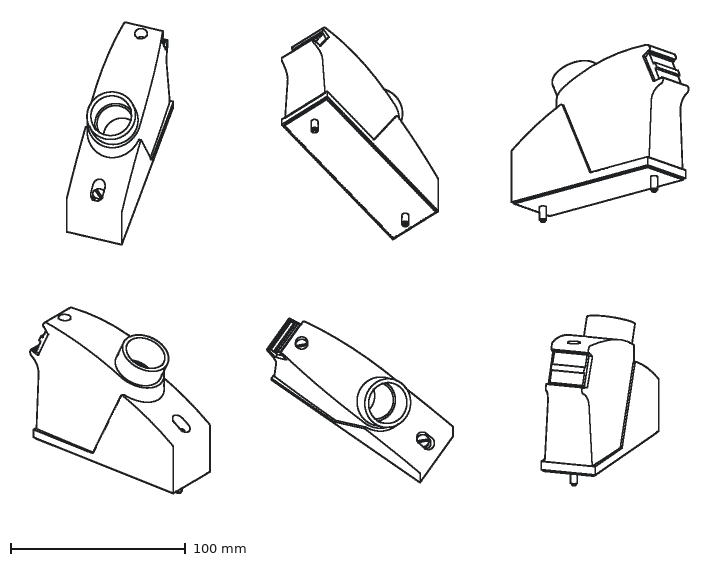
import cadquery as cq
import math


width = 33.0
length = 104.0
rim_height = 5.0
lip_inset = 1.0
lip_height = 1.0
half_length = length / 2

tilt = 25.0
tilt_sin = math.sin(math.radians(tilt))
tilt_cos = math.cos(math.radians(tilt))

shell_half_width = 15.45
bow_apex_y = -4.5
bow_radius_low = 1700.0
bow_radius_high = 333.0
bow_rear_y = 62.0
bow_low_z = rim_height
bow_high_z = 76.0

shell_rear_y = 51.4
back_arc_radius = 9.85
crown_end = (-13.8, 60.75)
crown_middle = (19.6, 71.95)
crown_rear = (46.8, 74.8)
upper_lip_round = (47.8, 74.4)
upper_lip_face_top = (48.5, 73.6)
upper_lip_face_bottom = (49.1, 72.6)
upper_lip_tip = (49.2, 71.7)
upper_lip_end = (48.4, 71.1)
nose_top = (58.1, 53.0)
nose_tip = (half_length + 7.0, 50.9)
nose_bottom = (57.7, 49.0)

boss_front_y = -27.0

block_foot_y = 8.0
block_peak_z = 51.0
block_top_middle = (-33.0, 42.3)
block_front_z = 30.8
block_edge_radius = 1.5

recess_foot = (52.3, 51.5)
recess_length = 18.3
recess_lip = (57.2, 52.4)
insert_width = 20.0
insert_depth = 3.3
insert_rib_depth = 4.6
insert_rib_start = 7.5
insert_rib_end = 10.95
insert_ledge = 0.8

tube_diameter = 28.0
tube_bore = 23.4
tube_top_center = (-17.8, 72.6)
tube_length = 12.5
tube_root = 1.0
tube_bore_depth = 19.1
inner_bore = 21.0
inner_bore_depth = 50.0

screw_y = 42.4
shaft_diameter = 4.0
shaft_end_z = -8.6
neck_diameter = 2.8
neck_top_z = -9.0
neck_end_z = -9.4
point_diameter = 2.0
point_end_z = -9.95
head_diameter = 7.1
rear_head_z = 67.0
front_head_z = 30.0
front_floor_z = 27.5
access_floor_y = -43.4
slot_width = 0.9
slot_depth = 0.8
slot_angle = -45.0
cut_clearance = 40.0


def extrude_side(profile, depth):
    """Extrude a closed YZ profile symmetrically about the mid plane."""
    return profile.extrude(depth / 2, both=True)


def bow_half_width(y, radius):
    """Half width of the shell at y for a side arc of the given radius."""
    offset = y - bow_apex_y
    return shell_half_width - radius + math.sqrt(radius ** 2 - offset ** 2)


def add_bow_outline(plane, radius):
    """Plan outline of the shell with an arc along each side and a round front."""
    front_y = crown_end[0]
    middle_y = (front_y + bow_rear_y) / 2
    front, middle, rear = [
        (bow_half_width(y, radius), y) for y in (front_y, middle_y, bow_rear_y)
    ]
    return (
        plane.moveTo(*front)
        .threePointArc(middle, rear)
        .lineTo(-rear[0], rear[1])
        .threePointArc((-middle[0], middle[1]), (-front[0], front[1]))
        .threePointArc((0, boss_front_y), front)
        .close()
    )


def recess_point(out, along):
    """YZ point measured outward from, and up along, the recess floor."""
    y = recess_foot[0] + out * tilt_cos - along * tilt_sin
    z = recess_foot[1] + out * tilt_sin + along * tilt_cos
    return (y, z)


def make_base():
    rim = cq.Workplane("XY").box(width, length, rim_height, centered=(True, True, False))
    lip = cq.Workplane("XY").workplane(offset=-lip_height).rect(
        2 * shell_half_width, length - 2 * lip_inset
    ).extrude(lip_height)
    return rim.union(lip)


def make_front_block():
    rise = block_peak_z - rim_height
    peak_y = block_foot_y - rise * tilt_sin / tilt_cos
    profile = (
        cq.Workplane("YZ")
        .moveTo(-half_length, 0)
        .lineTo(block_foot_y, 0)
        .lineTo(block_foot_y, rim_height)
        .lineTo(peak_y, block_peak_z)
        .threePointArc(block_top_middle, (-half_length, block_front_z))
        .close()
    )
    block = extrude_side(profile, width)
    front_edge = cq.selectors.NearestToPointSelector((0, -half_length, block_front_z))
    peak_edge = cq.selectors.NearestToPointSelector((0, peak_y, block_peak_z))
    block = block.edges(front_edge).fillet(block_edge_radius)
    return block.edges(peak_edge).fillet(block_edge_radius)


def make_shell():
    back_arc_drop = math.sqrt(
        back_arc_radius ** 2 - (shell_rear_y + back_arc_radius - nose_bottom[0]) ** 2
    )
    boss_top_front_z = crown_end[1] - (crown_end[0] - boss_front_y) * tilt_sin / tilt_cos
    profile = (
        cq.Workplane("YZ")
        .moveTo(boss_front_y, 0)
        .lineTo(boss_front_y, boss_top_front_z)
        .lineTo(*crown_end)
        .threePointArc(crown_middle, crown_rear)
        .threePointArc(upper_lip_round, upper_lip_face_top)
        .lineTo(*upper_lip_face_bottom)
        .threePointArc(upper_lip_tip, upper_lip_end)
        .lineTo(*recess_point(0, recess_length))
        .lineTo(*recess_foot)
        .lineTo(*recess_lip)
        .lineTo(*nose_top)
        .threePointArc(nose_tip, nose_bottom)
        .radiusArc((shell_rear_y, nose_bottom[1] - back_arc_drop), -back_arc_radius)
        .lineTo(shell_rear_y, 0)
        .close()
    )
    low = cq.Workplane("XY").workplane(offset=bow_low_z)
    outline = add_bow_outline(low, bow_radius_low).workplane(offset=bow_high_z - bow_low_z)
    sides = add_bow_outline(outline, bow_radius_high).loft(ruled=True)
    return sides.intersect(extrude_side(profile, width))


def make_latch_insert():
    rear_lip_z = recess_lip[1] + insert_ledge
    outline = [
        recess_foot,
        recess_lip,
        (recess_lip[0] - insert_ledge / 2, rear_lip_z),
        (recess_foot[0] + insert_depth * tilt_cos - insert_ledge / 2, rear_lip_z),
        recess_point(insert_depth, insert_rib_start),
        recess_point(insert_rib_depth, insert_rib_start),
        recess_point(insert_rib_depth, insert_rib_end),
        recess_point(insert_depth, insert_rib_end),
        recess_point(insert_depth, recess_length),
        recess_point(insert_depth + insert_ledge, recess_length + insert_ledge / 2),
        upper_lip_end,
        recess_point(0, recess_length),
    ]
    return extrude_side(cq.Workplane("YZ").polyline(outline).close(), insert_width)


def tube_cylinder(diameter, depth):
    """Cylinder running down the tube axis from its open end."""
    plane = cq.Plane(
        origin=(0, *tube_top_center), xDir=(1, 0, 0), normal=(0, tilt_sin, -tilt_cos)
    )
    return cq.Workplane(plane).circle(diameter / 2).extrude(depth)


def make_shaft(y):
    """Screw shaft with a stepped, tapered end, below the rim."""
    half_profile = [
        (0, 0),
        (shaft_diameter / 2, 0),
        (shaft_diameter / 2, shaft_end_z),
        (neck_diameter / 2, neck_top_z),
        (neck_diameter / 2, neck_end_z),
        (point_diameter / 2, neck_end_z),
        (point_diameter / 2, point_end_z),
        (0, point_end_z),
    ]
    shaft = cq.Workplane("XZ").polyline(half_profile).close().revolve(360, (0, 0), (0, 1))
    return shaft.translate((0, y, 0))


def head_cylinder(y, z, height):
    return cq.Workplane("XY", origin=(0, y, z)).circle(head_diameter / 2).extrude(height)


def head_slot(y, z):
    """Driver slot across a screw head whose top lies at z, clipped to the head."""
    bar = (
        cq.Workplane("XY", origin=(0, y, z - slot_depth))
        .transformed(rotate=(0, 0, slot_angle))
        .rect(head_diameter, slot_width)
        .extrude(slot_depth)
    )
    return bar.intersect(head_cylinder(y, z - slot_depth, slot_depth))


def access_opening():
    """Tilted driver bore above the front screw, blended straight to its upright head hole."""
    floor_center = (0, access_floor_y, front_floor_z)
    plane = cq.Plane(origin=floor_center, xDir=(1, 0, 0), normal=(0, -tilt_sin, tilt_cos))
    bore = cq.Workplane(plane).circle(head_diameter / 2).extrude(cut_clearance / 2, both=True)
    above_floor = cq.Workplane("XY", origin=floor_center).box(
        width, 2 * cut_clearance, cut_clearance, centered=(True, True, False)
    )
    bore_top_y = access_floor_y - cut_clearance / 2 * tilt_sin
    bore_top_z = front_floor_z + cut_clearance / 2 * tilt_cos
    between_axes = [
        (access_floor_y, front_floor_z),
        (bore_top_y, bore_top_z),
        (-screw_y, bore_top_z),
        (-screw_y, front_floor_z),
    ]
    blend = extrude_side(cq.Workplane("YZ").polyline(between_axes).close(), head_diameter)
    return bore.intersect(above_floor).union(blend)


hood = make_base().union(make_front_block()).union(make_shell()).union(make_latch_insert())
hood = hood.union(tube_cylinder(tube_diameter, tube_length + tube_root))
hood = hood.cut(tube_cylinder(tube_bore, tube_bore_depth))
hood = hood.cut(tube_cylinder(inner_bore, inner_bore_depth))

hood = hood.cut(access_opening())
front_head = head_cylinder(-screw_y, front_floor_z, front_head_z - front_floor_z)
hood = hood.union(front_head)
for screw_side, head_z in ((1, rear_head_z), (-1, front_head_z)):
    y = screw_side * screw_y
    hood = hood.cut(head_cylinder(y, head_z, cut_clearance))
    hood = hood.cut(head_slot(y, head_z))
    hood = hood.union(make_shaft(y))

result = hood